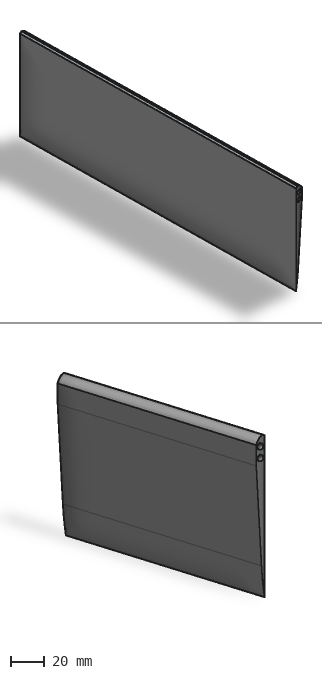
import cadquery as cq

span = 200.0
thickness = 6.0
chord = 98.5

nose_depth = 5.8
nose_mid_y = 3.8
nose_mid_drop = 1.8
tip_y = 1.5
front_round_drop = 0.5
front_mid_y = 0.5
front_mid_drop = 0.2

taper_start_z = 80.5
curve_start_y = 2.2
curve_start_z = 19.5
curve_mid_y = 1.2
curve_mid_z = 8.5

hole_diameter = 4.0
hole_y = thickness / 2
upper_hole_z = chord - 7.0
hole_spacing = 7.0

section = (
    cq.Workplane("YZ")
    .moveTo(0, 0)
    .lineTo(0, chord - front_round_drop)
    .threePointArc((front_mid_y, chord - front_mid_drop), (tip_y, chord))
    .threePointArc((nose_mid_y, chord - nose_mid_drop), (thickness, chord - nose_depth))
    .lineTo(thickness, taper_start_z)
    .lineTo(curve_start_y, curve_start_z)
    .threePointArc((curve_mid_y, curve_mid_z), (0, 0))
    .close()
)
blade = section.extrude(span)

holes = (
    cq.Workplane("YZ")
    .pushPoints([(hole_y, upper_hole_z), (hole_y, upper_hole_z - hole_spacing)])
    .circle(hole_diameter / 2)
    .extrude(span)
)

result = blade.cut(holes)